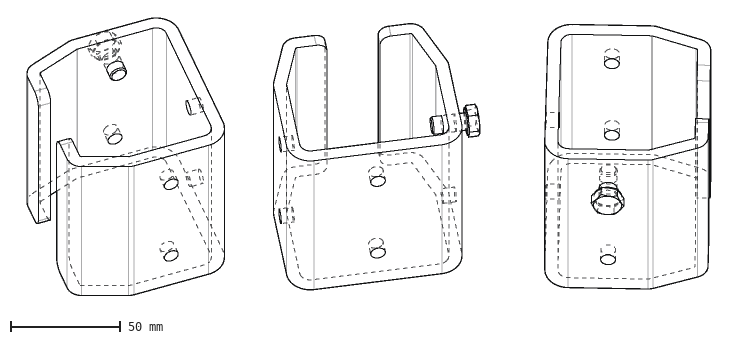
import cadquery as cq
import math

channel_width = 81.0
channel_depth = 74.5
channel_height = 90.0
sheet = 6.0
back_corner_radius = 11.0
bend_radius = 7.0
taper_start = 48.5
taper_angle = 20.0
mouth_width = 24.5
lip_corner_radius = 5.0

hole_diameter = 6.8
hole_end_distance = 20.0
side_hole_depth = 29.15

bolt_diameter = 8.0
bolt_tip_chamfer = 0.6
head_across_flats = 13.0
head_height = 5.5
washer_face_height = 0.55
washer_face_diameter = 12.8
crown_diameter = 12.8
crown_angle = 30.0
head_turn = 7.0
neck_radius = 0.4
bolt_length = 21.5
bolt_reach = 10.4

half_width = channel_width / 2
back_y = channel_depth / 2
front_y = -back_y
taper_y = back_y - taper_start
taper_inset = (taper_y - front_y) * math.tan(math.radians(taper_angle))
side_hole_y = back_y - side_hole_depth
hole_heights = [hole_end_distance, channel_height - hole_end_distance]
bolt_z = hole_heights[1]
bolt_start_x = -half_width - bolt_reach


def cylinder_along_x(diameter, start_x, length, y, z):
    return cq.Workplane("YZ", origin=(start_x, y, z)).circle(diameter / 2).extrude(length)


def bent_sheet():
    """Full channel section, with the mouth cut open and the lip corners rounded."""
    right_side = [
        (half_width, back_y),
        (half_width, taper_y),
        (half_width - taper_inset, front_y),
    ]
    left_side = [(-x, y) for x, y in reversed(right_side)]
    block = (
        cq.Workplane("XY")
        .polyline(right_side + left_side)
        .close()
        .extrude(channel_height)
    )
    block = block.faces(">Y").edges("|Z").fillet(back_corner_radius)
    front_bends = cq.selectors.BoxSelector(
        (-channel_width, front_y - sheet, 0),
        (channel_width, taper_y + sheet, channel_height),
    )
    block = block.edges("|Z").edges(front_bends).fillet(bend_radius)
    cavity = block.faces("<Z").wires().toPending().offset2D(-sheet).extrude(channel_height, combine=False)
    mouth = cq.Workplane("XY").box(
        mouth_width, 2 * sheet, channel_height, centered=(True, True, False)
    ).translate((0, front_y + sheet / 2, 0))
    sheet_body = block.cut(cavity).cut(mouth)
    lip_corners = cq.selectors.BoxSelector(
        (-mouth_width, front_y - sheet, -sheet),
        (mouth_width, front_y + 2 * sheet, channel_height + sheet),
    )
    return sheet_body.edges("|Y").edges(lip_corners).fillet(lip_corner_radius)


def make_channel():
    channel = bent_sheet()
    for z in hole_heights:
        back_hole = (
            cq.Workplane("XZ", origin=(0, back_y, z))
            .circle(hole_diameter / 2)
            .extrude(2 * sheet)
        )
        side_holes = cylinder_along_x(hole_diameter, -half_width, channel_width, side_hole_y, z)
        channel = channel.cut(back_hole).cut(side_holes)
    bolt_hole = cylinder_along_x(bolt_diameter, -half_width, 2 * sheet, side_hole_y, bolt_z)
    return channel.cut(bolt_hole)


def bolt_frame():
    """XY workplane with its origin on the bolt axis at the end of the head."""
    return cq.Workplane("XY", origin=(bolt_start_x, side_hole_y, bolt_z))


def turn_about_bolt_axis(half_profile):
    return half_profile.close().revolve(360, (0, 0, 0), (1, 0, 0))


def hexagon_head():
    """Hexagon whose outer corners are trimmed by the crown cone."""
    head_across_corners = head_across_flats / math.cos(math.radians(30))
    hexagon_height = head_height - washer_face_height
    hexagon = (
        cq.Workplane("YZ", origin=(bolt_start_x, side_hole_y, bolt_z))
        .transformed(rotate=(0, 0, head_turn))
        .polygon(6, head_across_corners)
        .extrude(hexagon_height)
    )
    crown_radius = crown_diameter / 2
    cone_end_radius = crown_radius + hexagon_height / math.tan(math.radians(crown_angle))
    crown_cone = turn_about_bolt_axis(bolt_frame().polyline([
        (0, 0),
        (0, crown_radius),
        (hexagon_height, cone_end_radius),
        (hexagon_height, 0),
    ]))
    return hexagon.intersect(crown_cone)


def washer_face_and_shank():
    shank_radius = bolt_diameter / 2
    washer_radius = washer_face_diameter / 2
    washer_start = head_height - washer_face_height
    fillet_middle = neck_radius * (1 - math.sqrt(0.5))
    return turn_about_bolt_axis(
        bolt_frame()
        .moveTo(washer_start, 0)
        .lineTo(washer_start, washer_radius)
        .lineTo(head_height, washer_radius)
        .lineTo(head_height, shank_radius + neck_radius)
        .threePointArc(
            (head_height + fillet_middle, shank_radius + fillet_middle),
            (head_height + neck_radius, shank_radius),
        )
        .lineTo(bolt_length - bolt_tip_chamfer, shank_radius)
        .lineTo(bolt_length, shank_radius - bolt_tip_chamfer)
        .lineTo(bolt_length, 0)
    )


def make_bolt():
    """Bolt through the upper hole of the -X wall, with its head outside."""
    return hexagon_head().union(washer_face_and_shank())


channel = make_channel()
bolt = make_bolt()
result = cq.Compound.makeCompound([channel.val(), bolt.val()])